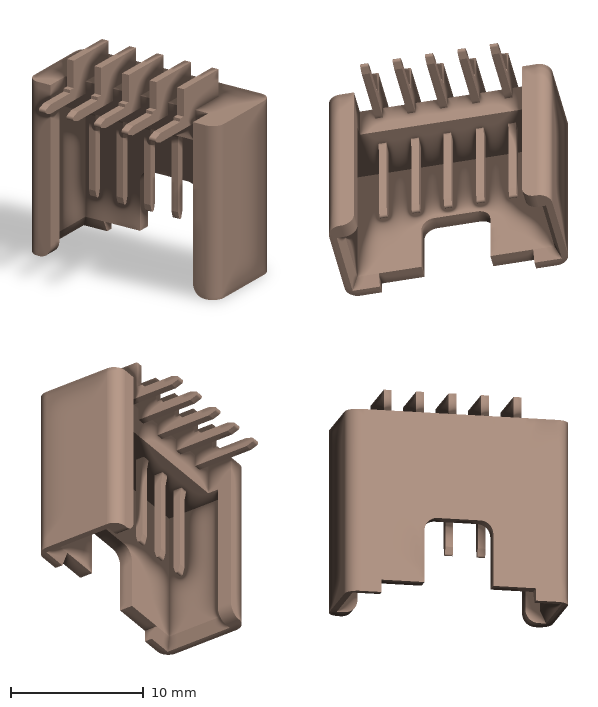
import cadquery as cq

WIDTH = 17.2
DEPTH = 7.5
HEIGHT = 14.2
CORNER_RADIUS = 1.0

WEB_HEIGHT = 2.5
LIP_DEPTH = 1.2
SIDE_WALL = 1.0
BACK_WALL = 1.08
FRONT_OPENING = 12.95
FRONT_NOTCH_DEPTH = 2.06
MOUTH_CHAMFER_HEIGHT = 0.96
MOUTH_CHAMFER_RUN = 0.46

WINDOW_WIDTH = 5.3
WINDOW_HEIGHT = 6.02
BACK_RELIEF_WIDTH = 11.9

PIN_COUNT = 5
PIN_ROW_SPAN = 10.0
PIN_WIDTH = 0.6
TOTAL_HEIGHT = 16.45
TOTAL_DEPTH = 10.8
BLADE_FRONT = 0.5
BLADE_REAR = 5.21
STEP_FRONT = 0.02
TAIL_DROP = 0.25
TAIL_THICKNESS = 0.75
TAIL_TIP_LENGTH = 0.65
TAIL_TIP_FLAT = 0.28
TAIL_TIP_RADIUS = 0.19
CONTACT_FRONT = 3.44
CONTACT_END = 4.15
CONTACT_THICKNESS = PIN_WIDTH
CONTACT_TIP_LENGTH = 0.64
CONTACT_TIP_FLAT = 0.24
CONTACT_TIP_RADIUS = 0.15
SHOULDER_HEIGHT = 0.83
SHOULDER_RUN = 0.14
SHOULDER_STRAIGHT = 0.1

CEILING = HEIGHT - WEB_HEIGHT
CAVITY_WIDTH = WIDTH - 2 * SIDE_WALL
CAVITY_REAR = DEPTH - BACK_WALL
CAVITY_DEPTH = CAVITY_REAR - LIP_DEPTH


def block(width, y_front, y_rear, z_bottom, z_top):
    """Box centred on X between the given Y and Z limits."""
    return cq.Workplane("XY").box(
        width, y_rear - y_front, z_top - z_bottom, centered=(True, False, False)
    ).translate((0, y_front, z_bottom))


def cavity():
    """Pin chamber whose mouth flares at the sides and the back."""
    chamber = block(CAVITY_WIDTH, LIP_DEPTH, CAVITY_REAR, 0, CEILING)
    mouth_width = CAVITY_WIDTH + 2 * MOUTH_CHAMFER_RUN
    mouth_depth = CAVITY_DEPTH + MOUTH_CHAMFER_RUN
    flare = (
        cq.Workplane("XY")
        .center(0, LIP_DEPTH + mouth_depth / 2)
        .rect(mouth_width, mouth_depth)
        .workplane(offset=MOUTH_CHAMFER_HEIGHT)
        .center(0, -MOUTH_CHAMFER_RUN / 2)
        .rect(CAVITY_WIDTH, CAVITY_DEPTH)
        .loft(ruled=True)
    )
    return chamber.union(flare)


def front_opening():
    """Gap between the lips, flaring with round corners at the bottom, and the notch above it."""
    gap_half = FRONT_OPENING / 2
    gap = block(FRONT_OPENING, 0, LIP_DEPTH, 0, CEILING)
    notch = block(FRONT_OPENING, 0, FRONT_NOTCH_DEPTH, CEILING, HEIGHT)
    lip_corner = (
        cq.Workplane("XZ")
        .moveTo(gap_half, 0)
        .lineTo(gap_half + CORNER_RADIUS, 0)
        .radiusArc((gap_half, CORNER_RADIUS), CORNER_RADIUS)
        .close()
        .extrude(-LIP_DEPTH)
    )
    return gap.union(notch).union(lip_corner).union(lip_corner.mirror("YZ"))


def back_cutouts():
    """Round-cornered window, and relief that shortens the back wall between its corners."""
    window = block(WINDOW_WIDTH, CAVITY_REAR, DEPTH, 0, WINDOW_HEIGHT)
    window = window.edges("|Y and >Z").fillet(CORNER_RADIUS)
    relief = block(BACK_RELIEF_WIDTH, CAVITY_REAR, DEPTH, 0, MOUTH_CHAMFER_HEIGHT)
    return window.union(relief)


def tapered_bar(length, thickness, tip_length, tip_flat, tip_radius):
    """Bar hanging from the origin along -Z, with its lower end tapered in Y and rounded."""
    bar = (
        cq.Workplane("YZ")
        .moveTo(-thickness / 2, 0)
        .lineTo(-thickness / 2, tip_length - length)
        .lineTo(-tip_flat / 2, -length)
        .lineTo(tip_flat / 2, -length)
        .lineTo(thickness / 2, tip_length - length)
        .lineTo(thickness / 2, 0)
        .close()
        .extrude(PIN_WIDTH / 2, both=True)
    )
    return bar.edges("|X and <Z").fillet(tip_radius)


def pin():
    """Bent contact: blade on top, tail out of the front, contact blade down into the cavity."""
    tail_top = HEIGHT - TAIL_DROP
    tail_centre = tail_top - TAIL_THICKNESS / 2
    tail_bottom = tail_top - TAIL_THICKNESS
    tail_tip = DEPTH - TOTAL_DEPTH
    contact_centre = CONTACT_FRONT + CONTACT_THICKNESS / 2

    blade = block(PIN_WIDTH, BLADE_FRONT, BLADE_REAR, tail_bottom, TOTAL_HEIGHT)
    step = block(PIN_WIDTH, STEP_FRONT, BLADE_FRONT, tail_bottom, HEIGHT)
    tail = tapered_bar(
        BLADE_REAR - tail_tip, TAIL_THICKNESS, TAIL_TIP_LENGTH, TAIL_TIP_FLAT, TAIL_TIP_RADIUS
    )
    tail = tail.rotate((0, 0, 0), (1, 0, 0), -90).translate((0, BLADE_REAR, tail_centre))
    contact = tapered_bar(
        tail_centre - CONTACT_END,
        CONTACT_THICKNESS,
        CONTACT_TIP_LENGTH,
        CONTACT_TIP_FLAT,
        CONTACT_TIP_RADIUS,
    ).translate((0, contact_centre, tail_centre))
    shoulder = (
        cq.Workplane("YZ")
        .moveTo(contact_centre, CEILING - SHOULDER_HEIGHT)
        .lineTo(CONTACT_FRONT, CEILING - SHOULDER_HEIGHT)
        .lineTo(CONTACT_FRONT - SHOULDER_RUN, CEILING - SHOULDER_STRAIGHT)
        .lineTo(CONTACT_FRONT - SHOULDER_RUN, CEILING)
        .lineTo(contact_centre, CEILING)
        .close()
        .extrude(PIN_WIDTH / 2, both=True)
    )
    return blade.union(step).union(tail).union(contact).union(shoulder)


housing = block(WIDTH, 0, DEPTH, 0, HEIGHT).edges("|Z").fillet(CORNER_RADIUS)
result = housing.cut(cavity()).cut(front_opening()).cut(back_cutouts())

one_pin = pin()
pin_pitch = PIN_ROW_SPAN / (PIN_COUNT - 1)
for index in range(PIN_COUNT):
    x = index * pin_pitch - PIN_ROW_SPAN / 2
    result = result.union(one_pin.translate((x, 0, 0)))